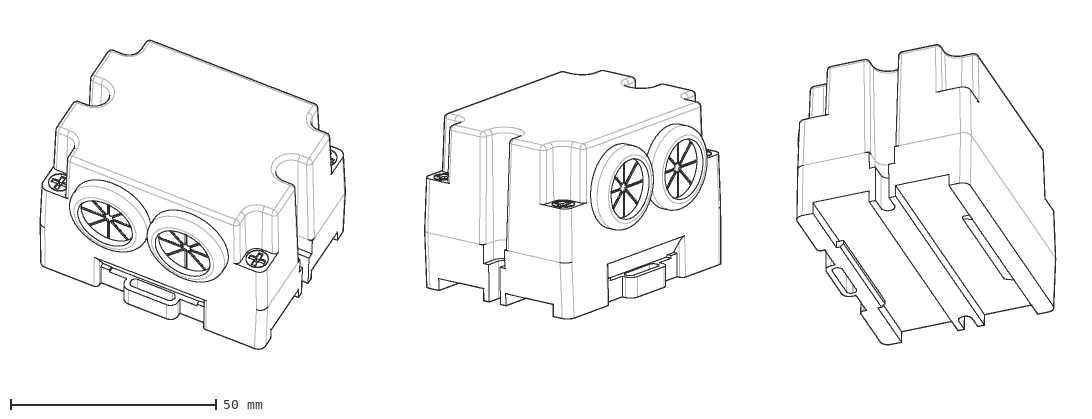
import cadquery as cq
import math

length = 62.15
width = 45.1
height = 42.5
parting_z = 14.3
wall_draft = 1.5
outer_corner_radius = 2.05
edge_radius = 1.1

pocket_floor_z = 27.9
pocket_depth_x = 7.2
pocket_depth_y = 7.4
pocket_radius = 2.85
screw_inset_x = 4.05
screw_inset_y = 4.2
screw_diameter = 5.5
screw_recess = 0.2
cross_span = 4.15
cross_width = 1.05
cross_depth = 0.5
cross_tip_depth = 0.6
cross_tip_width = 0.005

notch_centre_inset = 4.1
notch_ledge_z = 9.6
notch_diameter = 6.6
notch_draft = 1.0
bolt_slot_diameter = 3.5

gland_spacing = 21.25
gland_z = 29.2
gland_diameter = 21.0
gland_front_y = -26.2
gland_root_y = -18.65
gland_rounding = 2.0
gland_bore = 15.0
gland_bore_depth = 1.85
groove_count = 8
groove_width = 0.5
groove_depth = 0.6
hub_diameter = 2.5

channel_height = 3.1
front_channel = (-18.1, -3.4)
rear_channel = (3.5, 17.35)

recess_width = 28.7
recess_top_z = 10.5
recess_edge_radius = 1.0
clip_face_y = -21.15
clip_back_y = -19.6
clip_top_z = 5.3
clip_tab_top_z = 5.95
clip_tab_length = 2.35
handle_width = 14.6
handle_front_y = -24.2
handle_radius = 2.05
handle_hole_length = 11.95
handle_hole_width = 2.6
handle_hole_y = -21.45
handle_hole_radius = 1.2

hook_reach = 2.55
hook_top_z = 1.55
hook_tip_z = 0.9
nose_reach = 1.8
nose_top_z = 1.75
nose_tip_z = 0.8
nose_base_reach = 0.95

half_length = length / 2
half_width = width / 2
beyond = 6.2
near_wall = 1.25
touch = 0.005


def shell(bottom_z, top_z):
    """Block whose end walls narrow away from the parting plane, with rounded uprights.

    The front wall is one plane leaning inwards from bottom to top. The rear wall
    leans in from the parting plane both ways, as the end walls do.
    """
    def lean(z):
        return (z - parting_z) * math.tan(math.radians(wall_draft))

    end_profile = [(-half_length + abs(lean(z)), z) for z in (bottom_z, top_z)]
    end_profile += [(half_length - abs(lean(z)), z) for z in (top_z, bottom_z)]
    side_profile = [(-half_width + lean(z), z) for z in (bottom_z, top_z)]
    side_profile += [(half_width - abs(lean(z)), z) for z in (top_z, bottom_z)]
    along_y = cq.Workplane("XZ").polyline(end_profile).close().extrude(width, both=True)
    along_x = cq.Workplane("YZ").polyline(side_profile).close().extrude(length, both=True)
    block = along_y.intersect(along_x)
    return block.edges("not #Z").fillet(outer_corner_radius)


def corner_points(inset_x, inset_y):
    return [(sx * (half_length - inset_x), sy * (half_width - inset_y))
            for sx in (-1, 1) for sy in (-1, 1)]


def pocket_cutters():
    """Rounded prisms centred on the four corners, opening upwards."""
    outline = (
        cq.Sketch()
        .rect(2 * pocket_depth_x, 2 * pocket_depth_y)
        .vertices()
        .fillet(pocket_radius)
    )
    cutter = (
        cq.Workplane("XY")
        .placeSketch(outline)
        .extrude(height - pocket_floor_z, taper=-wall_draft)
    )
    cutters = cq.Workplane("XY")
    for x, y in corner_points(0, 0):
        cutters = cutters.add(cutter.translate((x, y, pocket_floor_z)))
    return cutters.combine()


def notch_cutters(diameter, bottom_z, top_z, draft):
    """Round-ended slots entering from both end faces."""
    slot_length = 2 * notch_centre_inset + diameter
    return (
        cq.Workplane("XY", origin=(0, 0, bottom_z))
        .pushPoints([(-half_length, 0), (half_length, 0)])
        .slot2D(slot_length, diameter)
        .extrude(top_z - bottom_z, taper=-draft)
    )


def is_mouth_edge(edge):
    """Upright edge where a pocket or notch breaks out of an outer wall."""
    ends = (edge.startPoint(), edge.endPoint())
    top_z = max(p.z for p in ends)
    rise = top_z - min(p.z for p in ends)
    on_wall = all(abs(p.x) > half_length - near_wall or abs(p.y) > half_width - near_wall for p in ends)
    return on_wall and rise > height / 4 and height - top_z < touch


def cover():
    body = shell(parting_z, height)
    body = body.cut(pocket_cutters())
    body = body.cut(notch_cutters(notch_diameter, parting_z, height, notch_draft))
    body = body.edges().filter(is_mouth_edge).fillet(edge_radius)
    return body.faces(">Z").edges().fillet(edge_radius)


def is_recess_side_edge(edge):
    """Upright edge between the recess side and the front wall."""
    ends = (edge.startPoint(), edge.endPoint())
    on_side = all(abs(abs(p.x) - recess_width / 2) < touch for p in ends)
    on_front = all(p.y < clip_face_y - touch for p in ends)
    return on_side and on_front and abs(ends[0].z - ends[1].z) > recess_top_z / 2


def base():
    body = shell(0, parting_z)
    body = body.cut(notch_cutters(notch_diameter, notch_ledge_z, parting_z, 0))
    body = body.cut(notch_cutters(bolt_slot_diameter, 0, notch_ledge_z, 0))
    for y_from, y_to in (front_channel, rear_channel):
        channel = (
            cq.Workplane("XY")
            .box(length, y_to - y_from, channel_height, centered=(True, False, False))
            .translate((0, y_from, 0))
        )
        body = body.cut(channel)
    front_y = -half_width - (parting_z - recess_top_z) * math.tan(math.radians(wall_draft))
    recess = (
        cq.Workplane("YZ")
        .moveTo(front_y - beyond, 0)
        .lineTo(clip_face_y, 0)
        .lineTo(clip_face_y, clip_top_z)
        .lineTo(clip_back_y, clip_top_z)
        .lineTo(front_y, recess_top_z)
        .lineTo(front_y - beyond, recess_top_z)
        .close()
        .extrude(recess_width / 2, both=True)
    )
    body = body.cut(recess)
    return body.edges().filter(is_recess_side_edge).fillet(recess_edge_radius)


def rail_clip():
    """Pull handle and the two end tabs on the clip."""
    handle = (
        cq.Workplane("XY")
        .box(handle_width, clip_back_y - handle_front_y, clip_top_z, centered=(True, False, False))
        .translate((0, handle_front_y, 0))
        .edges("|Z and <Y")
        .fillet(handle_radius)
    )
    tab_x = (recess_width - clip_tab_length) / 2
    tabs = (
        cq.Workplane("XY")
        .pushPoints([(-tab_x, 0), (tab_x, 0)])
        .box(clip_tab_length, clip_back_y - clip_face_y, clip_tab_top_z, centered=(True, False, False))
        .translate((0, clip_face_y, 0))
    )
    return handle.union(tabs)


def rail_hooks():
    """Clip nose and rear hook, each reaching into a channel to grip the rail."""
    front_y = front_channel[0]
    nose = (
        cq.Workplane("YZ")
        .polyline([
            (front_y, 0),
            (front_y + nose_base_reach, 0),
            (front_y + nose_reach, nose_tip_z),
            (front_y + nose_reach, nose_top_z),
            (front_y, nose_top_z),
        ])
        .close()
        .extrude(recess_width / 2, both=True)
    )
    rear_y = rear_channel[1]
    hook = (
        cq.Workplane("YZ")
        .polyline([
            (rear_y, 0),
            (rear_y, hook_top_z),
            (rear_y - hook_reach, hook_top_z),
            (rear_y - hook_reach, hook_tip_z),
        ])
        .close()
        .extrude(recess_width / 2, both=True)
    )
    return nose.add(hook).combine()


def handle_hole():
    outline = (
        cq.Sketch()
        .rect(handle_hole_length, handle_hole_width)
        .vertices()
        .fillet(handle_hole_radius)
    )
    return (
        cq.Workplane("XY", origin=(0, handle_hole_y, 0))
        .placeSketch(outline)
        .extrude(clip_top_z)
    )


def glands():
    """Two domed rings, each around a recessed membrane scored with grooves."""
    membrane_y = gland_front_y + gland_bore_depth
    ring = (
        cq.Workplane("XZ", origin=(0, gland_root_y, 0))
        .circle(gland_diameter / 2)
        .extrude(gland_root_y - gland_front_y)
        .faces("<Y")
        .edges()
        .fillet(gland_rounding)
    )
    bore = (
        cq.Workplane("XZ", origin=(0, membrane_y, 0))
        .circle(gland_bore / 2)
        .extrude(gland_bore_depth)
    )
    grooves = (
        cq.Workplane("XZ", origin=(0, membrane_y + groove_depth, 0))
        .polarArray(gland_bore / 4, 0, 360, groove_count)
        .rect(gland_bore / 2, groove_width)
        .extrude(groove_depth)
    )
    hub = (
        cq.Workplane("XZ", origin=(0, membrane_y + groove_depth, 0))
        .circle(hub_diameter / 2)
        .extrude(groove_depth)
    )
    gland = ring.cut(bore).cut(grooves).cut(hub)
    left = gland.translate((-gland_spacing / 2, 0, gland_z))
    right = gland.translate((gland_spacing / 2, 0, gland_z))
    return left.add(right).combine()


def screw_recesses():
    """Shallow round head recess with a cross drive and a pointed cross centre."""
    head_z = pocket_floor_z - screw_recess
    cross_z = head_z - cross_depth
    head = (
        cq.Workplane("XY", origin=(0, 0, head_z))
        .circle(screw_diameter / 2)
        .extrude(screw_recess)
    )
    bars = [
        cq.Workplane("XY", origin=(0, 0, cross_z)).rect(*size).extrude(cross_depth)
        for size in ((cross_span, cross_width), (cross_width, cross_span))
    ]
    tip = (
        cq.Workplane("XY", origin=(0, 0, cross_z))
        .rect(cross_width, cross_width)
        .workplane(offset=-cross_tip_depth)
        .rect(cross_tip_width, cross_tip_width)
        .loft()
    )
    screw = head.union(bars[0]).union(bars[1]).union(tip)
    recesses = cq.Workplane("XY")
    for x, y in corner_points(screw_inset_x, screw_inset_y):
        recesses = recesses.add(screw.translate((x, y, 0)))
    return recesses.combine()


result = (
    cover()
    .union(base())
    .union(rail_clip())
    .cut(handle_hole())
    .union(rail_hooks())
    .union(glands())
    .cut(screw_recesses())
)